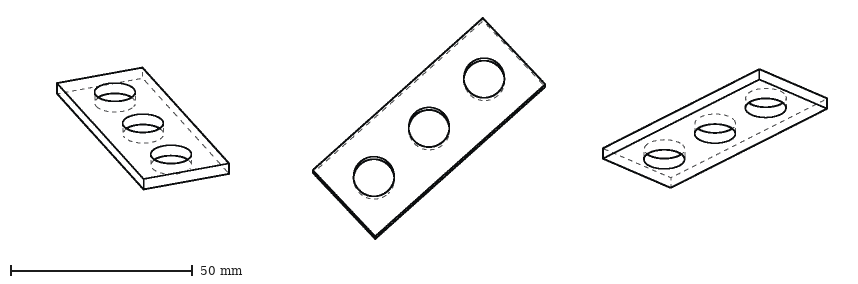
import cadquery as cq

length = 63.5
width = 25.4
thickness = 3.25

hole_diameter = 11.2
hole_pitch = 20.6
hole_count = 3

plate = cq.Workplane("XY").box(length, width, thickness)

result = (
    plate.faces(">Z")
    .workplane()
    .rarray(hole_pitch, width, hole_count, 1)
    .hole(hole_diameter)
)